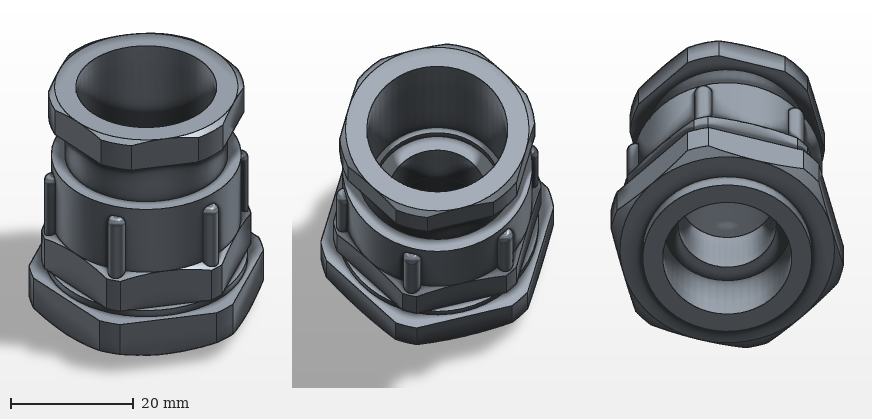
import cadquery as cq
import math

locknut_bottom = 2.75
locknut_top = 9.72
hex_bottom = 10.95
hex_top = 17.9
body_top = 30.45
head_bottom = 38.55
head_top = 44.0

locknut_flat_radius = 35.0 / 2
locknut_corner_radius = 38.5 / 2
hex_flat_radius = 15.5
hex_corner_radius = 17.25
head_flat_radius = 14.95
head_corner_radius = 15.95
corner_count = 6
corner_chamfer_angle = 30.0

stem_radius = 13.75
washer_radius = 16.55
barrel_radius = hex_flat_radius
neck_radius = 13.3

entry_bore_radius = 11.5
slip_ring_bore_radius = 10.5
stem_bore_radius = slip_ring_bore_radius
seal_bore_radius = 8.0
slip_ring_thickness = 1.3
neck_bottom = 22.0
slip_ring_bottom = neck_bottom - slip_ring_thickness

rib_radius = 1.45
rib_top = 28.55
rib_end_rounding = 1.0


def cylinder(radius, bottom, top):
    """Solid cylinder on the Z axis between two heights."""
    return cq.Workplane("XY").workplane(offset=bottom).circle(radius).extrude(top - bottom)


def tube(outer_radius, inner_radius, bottom, top):
    """Round sleeve on the Z axis between two heights."""
    return cylinder(outer_radius, bottom, top).cut(cylinder(inner_radius, bottom, top))


def chamfered_hexagon(flat_radius, corner_radius, plain_end, chamfered_end):
    """Hexagon with corners on the Y axis, turned round, and beveled at one end."""
    height = chamfered_end - plain_end
    across_corners = 2 * flat_radius / math.cos(math.pi / corner_count)
    prism = (
        cq.Workplane("XY")
        .workplane(offset=plain_end)
        .polygon(corner_count, across_corners)
        .extrude(height)
        .rotate((0, 0, 0), (0, 0, 1), 90)
    )
    bevel = (corner_radius - flat_radius) * math.tan(math.radians(corner_chamfer_angle))
    shoulder = chamfered_end - math.copysign(bevel, height)
    turned_blank = (
        cq.Workplane("XZ")
        .moveTo(0, plain_end)
        .lineTo(corner_radius, plain_end)
        .lineTo(corner_radius, shoulder)
        .lineTo(flat_radius, chamfered_end)
        .lineTo(0, chamfered_end)
        .close()
        .revolve(360, (0, 0, 0), (0, 1, 0))
    )
    return prism.intersect(turned_blank)


def make_grip_rib(angle):
    """Upright round rib with a rounded top, half sunk into the barrel wall."""
    return (
        cylinder(rib_radius, hex_bottom, rib_top)
        .faces(">Z")
        .edges()
        .fillet(rib_end_rounding)
        .translate((0, barrel_radius, 0))
        .rotate((0, 0, 0), (0, 0, 1), angle)
    )


def make_gland_body():
    """Threaded stem, hexagon and ribbed barrel in one piece."""
    body = chamfered_hexagon(hex_flat_radius, hex_corner_radius, hex_bottom, hex_top)
    body = body.union(cylinder(barrel_radius, hex_bottom, body_top))
    for index in range(corner_count):
        body = body.union(make_grip_rib(index * 360 / corner_count))
    body = body.union(cylinder(stem_radius, 0, hex_bottom))
    body = body.cut(cylinder(stem_bore_radius, 0, hex_bottom))
    return body.cut(cylinder(neck_radius, hex_bottom, body_top))


def make_locknut():
    """Hexagon nut on the stem, beveled on its lower side."""
    nut = chamfered_hexagon(locknut_flat_radius, locknut_corner_radius, locknut_top, locknut_bottom)
    return nut.cut(cylinder(stem_radius, locknut_bottom, locknut_top))


def make_clamping_nut():
    """Hexagon head with a round neck that goes down into the barrel."""
    nut = chamfered_hexagon(head_flat_radius, head_corner_radius, head_bottom, head_top)
    nut = nut.union(cylinder(neck_radius, neck_bottom, head_bottom))
    return nut.cut(cylinder(entry_bore_radius, neck_bottom, head_top))


gland_body = make_gland_body()
locknut = make_locknut()
washer = tube(washer_radius, stem_radius, locknut_top, hex_bottom)
clamping_nut = make_clamping_nut()
slip_ring = tube(neck_radius, slip_ring_bore_radius, slip_ring_bottom, neck_bottom)
seal = tube(neck_radius, seal_bore_radius, hex_bottom, slip_ring_bottom)

result = cq.Compound.makeCompound([
    gland_body.val(),
    locknut.val(),
    washer.val(),
    clamping_nut.val(),
    slip_ring.val(),
    seal.val(),
])